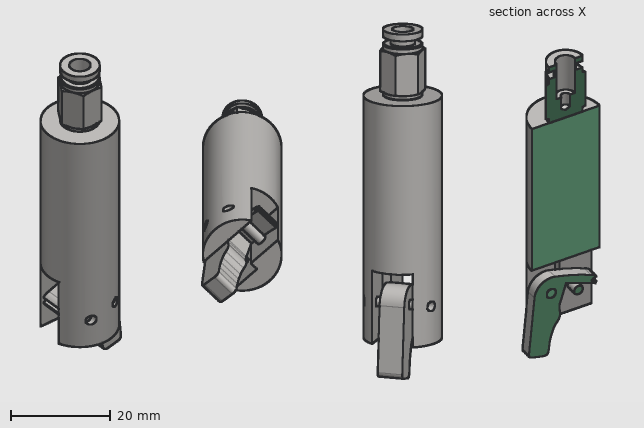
import cadquery as cq
import math

total_height = 71.6

body_radius = 7.95
body_bottom = 7.0
body_top = 57.7
slot_top = 22.35
slot_half_width = 4.3

lever_left = -2.7
lever_right = 2.5

pivot_y = 3.4
pivot_z = 15.05
pivot_radius = 1.0
stop_y = -3.0
stop_z = 13.55
stop_radius = 1.1
pin_half_length = 6.1

hub_radius = 4.0
hub_start_angle = math.radians(102)
back_tilt = math.radians(5.4)
foot_tilt = math.radians(13)
toe_tilt = math.radians(6)
toe_y = 4.95
foot_corner_radius = 1.0

handle_flat_top = (3.7, 2.7)
handle_lean_start = (3.4, 4.45)
handle_lean_end = (2.9, 5.95)
bump_bottom = (1.9, 7.45)
bump_crest = (1.3, 8.75)
bump_top = (1.3, 10.0)
hollow_middle = (1.4, 10.8)
hollow_top = (1.35, 11.5)
throat_bottom = (1.2, 11.95)
throat_top = (-0.15, 16.25)
tooth_bottom = (-7.0, 13.7)
tooth_tip = (-7.2, 14.2)
notch_root = (-6.0, 14.75)
nose_tip = (-7.2, 15.4)
nose_middle = (-6.65, 16.0)
nose_top = (-5.9, 16.3)
crown_middle = (-1.7, 17.85)

hex_flats = 8.1
hex_bottom = 58.7
hex_top = 67.55
hex_chamfer = 0.3
collar_radius = 4.0
collar_top = 68.7
collar_chamfer = 0.2
sleeve_radius = 2.5
flange_bottom = 70.2
tube_bore_radius = 2.15
tube_bore_depth = 8.6
air_hole_radius = 1.0
air_hole_depth = 11.45
drill_half_angle = math.radians(59)


def cross_cylinder(y, z, radius, half_length):
    """A cylinder along X, centred on X = 0."""
    return (
        cq.Workplane("YZ", origin=(-half_length, 0, 0))
        .center(y, z)
        .circle(radius)
        .extrude(2 * half_length)
    )


def slot_box(x_min, x_max, y_min, y_max):
    """A block that opens the body from its lower end up to the slot's roof."""
    return (
        cq.Workplane("XY", origin=(x_min, y_min, 0))
        .box(x_max - x_min, y_max - y_min, slot_top, centered=False)
    )


def make_body():
    body = (
        cq.Workplane("XY", origin=(0, 0, body_bottom))
        .circle(body_radius)
        .extrude(body_top - body_bottom)
    )
    body = body.cut(slot_box(-slot_half_width, lever_right, -body_radius, 0))
    body = body.cut(slot_box(-slot_half_width, slot_half_width, 0, body_radius))
    body = body.cut(cross_cylinder(pivot_y, pivot_z, pivot_radius, body_radius))
    return body.cut(cross_cylinder(stop_y, stop_z, stop_radius, body_radius))


def circle_point(centre, radius, angle):
    """The point of a circle at an angle from +Y towards +Z, as (Y, Z)."""
    return (centre[0] + radius * math.cos(angle), centre[1] + radius * math.sin(angle))


def make_lever():
    pivot = (pivot_y, pivot_z)
    foot_normal = foot_tilt - math.pi / 2
    toe_end = math.pi + toe_tilt

    toe = (toe_y, foot_corner_radius)
    toe_to_back = (
        (pivot_y - toe[0]) * math.cos(back_tilt)
        + (pivot_z - toe[1]) * math.sin(back_tilt)
        + hub_radius
        - foot_corner_radius
    )
    heel = circle_point(toe, toe_to_back / math.cos(foot_tilt - back_tilt), foot_tilt)

    outline = (
        cq.Workplane("YZ", origin=(lever_left, 0, 0))
        .moveTo(*circle_point(pivot, hub_radius, hub_start_angle))
        .threePointArc(
            circle_point(pivot, hub_radius, (hub_start_angle + back_tilt) / 2),
            circle_point(pivot, hub_radius, back_tilt),
        )
        .lineTo(*circle_point(heel, foot_corner_radius, back_tilt))
        .threePointArc(
            circle_point(heel, foot_corner_radius, (back_tilt + foot_normal) / 2),
            circle_point(heel, foot_corner_radius, foot_normal),
        )
        .lineTo(*circle_point(toe, foot_corner_radius, foot_normal))
        .threePointArc(
            circle_point(toe, foot_corner_radius, -math.pi / 2 - toe_tilt),
            circle_point(toe, foot_corner_radius, toe_end),
        )
        .lineTo(*handle_flat_top)
        .tangentArcPoint(handle_lean_start, relative=False)
        .lineTo(*handle_lean_end)
        .tangentArcPoint(bump_bottom, relative=False)
        .threePointArc(bump_crest, bump_top)
        .threePointArc(hollow_middle, hollow_top)
        .lineTo(*throat_bottom)
        .lineTo(*throat_top)
        .lineTo(*tooth_bottom)
        .lineTo(*tooth_tip)
        .lineTo(*notch_root)
        .lineTo(*nose_tip)
        .threePointArc(nose_middle, nose_top)
        .threePointArc(crown_middle, circle_point(pivot, hub_radius, hub_start_angle))
        .close()
    )
    lever = outline.extrude(lever_right - lever_left)
    return lever.cut(cross_cylinder(pivot_y, pivot_z, pivot_radius, body_radius))


def make_fitting():
    collars = (
        cq.Workplane("XY", origin=(0, 0, body_top))
        .circle(collar_radius)
        .extrude(collar_top - body_top)
        .faces("<Z or >Z")
        .chamfer(collar_chamfer)
    )
    hexagon = (
        cq.Workplane("XY", origin=(0, 0, hex_bottom))
        .polygon(6, hex_flats, circumscribed=True)
        .extrude(hex_top - hex_bottom)
    )
    corner_radius = hex_flats / math.sqrt(3)
    trim = (
        cq.Workplane("XZ")
        .polyline([
            (0, hex_bottom),
            (collar_radius, hex_bottom),
            (corner_radius, hex_bottom + hex_chamfer),
            (corner_radius, hex_top - hex_chamfer),
            (collar_radius, hex_top),
            (0, hex_top),
        ])
        .close()
        .revolve(360, (0, 0, 0), (0, 1, 0))
    )
    sleeve = (
        cq.Workplane("XY", origin=(0, 0, collar_top))
        .circle(sleeve_radius)
        .extrude(total_height - collar_top)
    )
    flange = (
        cq.Workplane("XY", origin=(0, 0, flange_bottom))
        .circle(collar_radius)
        .extrude(total_height - flange_bottom)
    )
    tube_floor = total_height - tube_bore_depth
    air_floor = total_height - air_hole_depth
    bore = (
        cq.Workplane("XZ")
        .polyline([
            (0, total_height),
            (tube_bore_radius, total_height),
            (tube_bore_radius, tube_floor),
            (air_hole_radius, tube_floor),
            (air_hole_radius, air_floor),
            (0, air_floor - air_hole_radius / math.tan(drill_half_angle)),
        ])
        .close()
        .revolve(360, (0, 0, 0), (0, 1, 0))
    )
    return collars.union(hexagon.intersect(trim)).union(sleeve).union(flange).cut(bore)


def make_pin(y, z, radius):
    return cross_cylinder(y, z, radius, pin_half_length)


body = make_body()
lever = make_lever()
fitting = make_fitting()
pin_places = [
    (pivot_y, pivot_z, pivot_radius),
    (stop_y, stop_z, stop_radius),
]
pins = [make_pin(*place).val() for place in pin_places]

result = cq.Compound.makeCompound([body.val(), lever.val(), fitting.val(), *pins])